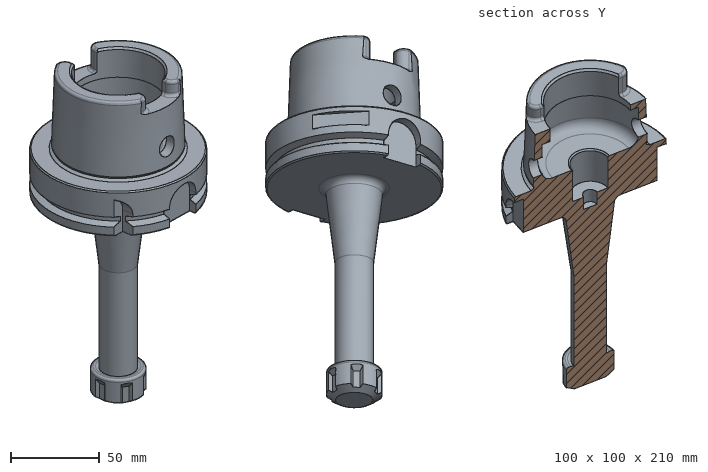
import cadquery as cq
import math


shank_top = 50.0
shank_tip_r = 36.0
shank_base_r = 37.7
shank_base_z = 2.6
tip_fillet = 1.9
undercut_r = 37.0
undercut_top = 1.9
undercut_bottom = 1.2
collar_r = 39.0

flange_r = 50.0
flange_bottom = -29.0
flange_chamfer = 0.8
groove_r = 45.8
groove_upper_edge = -16.6
groove_upper_floor = -18.4
groove_lower_floor = -21.4
groove_lower_edge = -23.0

neck_fillet = 4.0
neck_top_r = 16.0
neck_bottom_z = -75.0
stem_r = 11.0
nut_r = 15.75
nut_top = -141.9
nut_countersink_r = 12.8
nut_countersink_depth = 0.5
nut_bottom = -160.0
nut_top_round = 1.6
nut_bottom_chamfer_r = 10.5
nut_bottom_chamfer_z = -156.7

bore_r = 26.4
bore_mouth_r = 27.6
bore_mouth_chamfer = bore_mouth_r - bore_r
recess_r = 31.5
recess_top = 30.8
recess_fillet = 6.4
bore_floor_z = 3.5
socket_r = 11.5
socket_mouth_r = 12.4
socket_floor_z = -20.0
centre_hole_r = 4.3
centre_hole_bottom = -29.0

drive_slot_width = 19.5
drive_corner_r = 5.2
drive_floor_fillet = 1.9
deep_drive_floor = 35.1
shallow_drive_floor = 40.5

cross_hole_d = 12.5
cross_hole_z = 15.1

keyway_width = 22.3
keyway_top = -4.3
keyway_floor_x = 44.0
notch_x = 31.3
notch_y = -31.4
notch_r = 9.5
notch_axis_z = -14.8
chip_flat_distance = 47.3
chip_flat_angle = 135.0
chip_flat_top = -3.4
chip_flat_bottom = -12.0

wrench_slot_count = 6
wrench_slot_start_angle = 30.0
wrench_slot_mouth = 7.4
wrench_slot_floor = 4.0
wrench_floor_r = 13.5
wrench_mouth_top = -144.6
wrench_floor_top = -148.0

arc_dip = 1 - math.sqrt(0.5)


def make_blank():
    """Whole turned outside: taper shank, flange, neck, stem and collet nut."""
    neck_top_z = flange_bottom - neck_fillet
    fillet_dip = neck_fillet * arc_dip
    nut_round_dip = nut_top_round * arc_dip
    outline = (
        cq.Workplane("XZ")
        .moveTo(0, shank_top)
        .lineTo(shank_tip_r, shank_top)
        .lineTo(shank_base_r, shank_base_z)
        .lineTo(undercut_r, undercut_top)
        .lineTo(undercut_r, undercut_bottom)
        .lineTo(collar_r, 0)
        .lineTo(flange_r - flange_chamfer, 0)
        .lineTo(flange_r, -flange_chamfer)
        .lineTo(flange_r, groove_upper_edge)
        .lineTo(groove_r, groove_upper_floor)
        .lineTo(groove_r, groove_lower_floor)
        .lineTo(flange_r, groove_lower_edge)
        .lineTo(flange_r, flange_bottom + flange_chamfer)
        .lineTo(flange_r - flange_chamfer, flange_bottom)
        .lineTo(neck_top_r + neck_fillet, flange_bottom)
        .threePointArc(
            (neck_top_r + fillet_dip, flange_bottom - fillet_dip),
            (neck_top_r, neck_top_z),
        )
        .lineTo(stem_r, neck_bottom_z)
        .lineTo(stem_r, nut_top - nut_countersink_depth)
        .lineTo(nut_countersink_r, nut_top)
        .lineTo(nut_r - nut_top_round, nut_top)
        .threePointArc(
            (nut_r - nut_round_dip, nut_top - nut_round_dip),
            (nut_r, nut_top - nut_top_round),
        )
        .lineTo(nut_r, nut_bottom_chamfer_z)
        .lineTo(nut_bottom_chamfer_r, nut_bottom)
        .lineTo(0, nut_bottom)
        .close()
    )
    return outline.revolve(360, (0, 0, 0), (0, 1, 0))


def make_bore():
    """Stepped bore, widened to a clamping recess that is rounded into the floor."""
    socket_chamfer = socket_mouth_r - socket_r
    fillet_dip = recess_fillet * arc_dip
    outline = (
        cq.Workplane("XZ")
        .moveTo(0, shank_top)
        .lineTo(bore_mouth_r, shank_top)
        .lineTo(bore_r, shank_top - bore_mouth_chamfer)
        .lineTo(bore_r, recess_top)
        .lineTo(recess_r, recess_top)
        .lineTo(recess_r, bore_floor_z + recess_fillet)
        .threePointArc(
            (recess_r - fillet_dip, bore_floor_z + fillet_dip),
            (recess_r - recess_fillet, bore_floor_z),
        )
        .lineTo(socket_mouth_r, bore_floor_z)
        .lineTo(socket_r, bore_floor_z - socket_chamfer)
        .lineTo(socket_r, socket_floor_z)
        .lineTo(centre_hole_r, socket_floor_z)
        .lineTo(centre_hole_r, centre_hole_bottom)
        .lineTo(0, centre_hole_bottom)
        .close()
    )
    return outline.revolve(360, (0, 0, 0), (0, 1, 0))


def cut_drive_slot(body, side, floor_z):
    """Cut one tip slot on the given X side, with rounded outer jaws and a filleted floor."""
    half = drive_slot_width / 2
    flare_centre_x = math.sqrt((shank_tip_r - drive_corner_r) ** 2 - (half + drive_corner_r) ** 2)
    mouth_x = flare_centre_x + drive_corner_r
    outer_x = flange_r
    flare_dip = drive_corner_r * arc_dip
    cutter = (
        cq.Workplane("XY", origin=(0, 0, floor_z))
        .moveTo(0, -half)
        .lineTo(flare_centre_x, -half)
        .threePointArc(
            (mouth_x - flare_dip, -half - flare_dip),
            (mouth_x, -half - drive_corner_r),
        )
        .lineTo(mouth_x, -flange_r)
        .lineTo(outer_x, -flange_r)
        .lineTo(outer_x, flange_r)
        .lineTo(mouth_x, flange_r)
        .lineTo(mouth_x, half + drive_corner_r)
        .threePointArc(
            (mouth_x - flare_dip, half + flare_dip),
            (flare_centre_x, half),
        )
        .lineTo(0, half)
        .close()
        .extrude(shank_top - floor_z)
        .faces("<Z").edges().fillet(drive_floor_fillet)
    )
    if side < 0:
        cutter = cutter.mirror("YZ")
    return body.cut(cutter)


def make_cross_hole(side):
    """Radial hole from the clamping recess out through the shank wall."""
    radius = cross_hole_d / 2
    inner_x = math.sqrt(recess_r**2 - radius**2)
    hole = (
        cq.Workplane("YZ", origin=(inner_x, 0, cross_hole_z))
        .circle(radius)
        .extrude(flange_r - inner_x)
    )
    return hole if side > 0 else hole.mirror("YZ")


def make_keyway(side):
    """Round-topped keyway, open at the bottom of the flange."""
    radius = keyway_width / 2
    arch_z = keyway_top - radius
    keyway = (
        cq.Workplane("YZ", origin=(keyway_floor_x, 0, 0))
        .moveTo(-radius, flange_bottom)
        .lineTo(-radius, arch_z)
        .threePointArc((0, keyway_top), (radius, arch_z))
        .lineTo(radius, flange_bottom)
        .close()
        .extrude(flange_r - keyway_floor_x)
    )
    return keyway if side > 0 else keyway.mirror("YZ")


def make_orientation_notch():
    """Square-cornered notch in the +X -Y quarter, arched at the top."""
    axis_y = notch_y - notch_r
    return (
        cq.Workplane("YZ", origin=(notch_x, 0, 0))
        .moveTo(notch_y, flange_bottom)
        .lineTo(notch_y, notch_axis_z)
        .threePointArc((axis_y, notch_axis_z + notch_r), (axis_y - notch_r, notch_axis_z))
        .lineTo(axis_y - notch_r, flange_bottom)
        .close()
        .extrude(flange_r - notch_x)
    )


def make_chip_flat():
    """Shallow rectangular flat for the data chip, in the -X +Y quarter."""
    height = chip_flat_top - chip_flat_bottom
    return (
        cq.Workplane("XY", origin=(0, 0, chip_flat_bottom))
        .box(flange_r, 2 * flange_r, height, centered=(False, True, False))
        .translate((chip_flat_distance, 0, 0))
        .rotate((0, 0, 0), (0, 0, 1), chip_flat_angle)
    )


def make_wrench_slot():
    """Slot pointing along +X with sloping sides and a sloping upper end."""
    depth = nut_r - wrench_floor_r
    side_slope = (wrench_slot_mouth - wrench_slot_floor) / 2 / depth
    end_slope = (wrench_mouth_top - wrench_floor_top) / depth

    def section(x):
        half = wrench_slot_floor / 2 + side_slope * (x - wrench_floor_r)
        top = wrench_floor_top + end_slope * (x - wrench_floor_r)
        return cq.Wire.makePolygon([
            cq.Vector(x, -half, nut_bottom),
            cq.Vector(x, half, nut_bottom),
            cq.Vector(x, half, top),
            cq.Vector(x, -half, top),
        ], close=True)

    return cq.Workplane(cq.Solid.makeLoft([section(wrench_floor_r), section(nut_r)], True))


body = make_blank()
body = cut_drive_slot(body, -1, deep_drive_floor)
body = cut_drive_slot(body, 1, shallow_drive_floor)
body = body.faces(">Z").edges().fillet(tip_fillet)
body = body.cut(make_bore())

for side in (-1, 1):
    body = body.cut(make_cross_hole(side))
    body = body.cut(make_keyway(side))
body = body.cut(make_orientation_notch())
body = body.cut(make_chip_flat())

wrench_slot = make_wrench_slot()
for index in range(wrench_slot_count):
    angle = wrench_slot_start_angle + index * 360 / wrench_slot_count
    body = body.cut(wrench_slot.rotate((0, 0, 0), (0, 0, 1), angle))

result = body